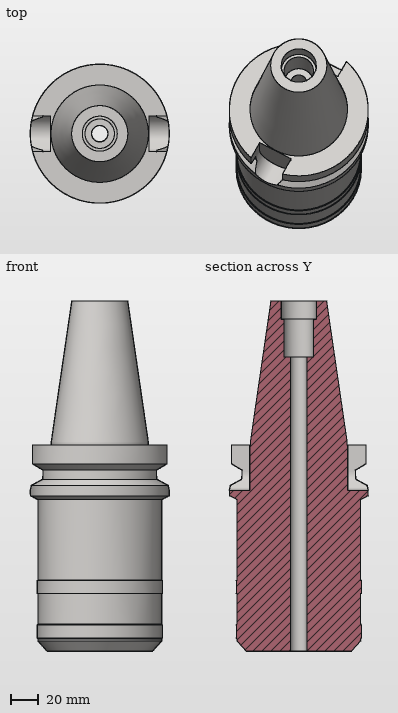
import cadquery as cq

total_height = 251.8
gauge_height = 150.0
flange_top = 148.3

gauge_radius = 35.0
taper_ratio = 7 / 24
shank_top_radius = gauge_radius - (total_height - gauge_height) * taper_ratio / 2

flange_diameter = 100.0
flange_radius = flange_diameter / 2
groove_radius = 42.8
groove_upper_edge = 134.7
groove_floor_top = 130.2
groove_floor_bottom = 123.6
groove_lower_edge = 119.4
flange_bottom = 111.8
body_top = 109.0

body_radius = 44.5
nose_radius = 37.8
nose_chamfer_top = 7.5

band_radius = 45.0
band_chamfer = band_radius - body_radius
lower_band_bottom = 9.0
lower_band_top = 19.6
upper_band_bottom = 41.5
upper_band_top = 51.4

slot_width = 25.7
slot_floor_distance = 35.3
slot_bottom = 115.8

mouth_radius = 12.5
mouth_depth = 13.0
thread_radius = 10.5
thread_depth = 40.3
through_radius = 5.8


def make_holder():
    """Revolve the outer half section about the Z axis."""
    section = [
        (0, 0),
        (nose_radius, 0),
        (body_radius, nose_chamfer_top),
        (body_radius, lower_band_bottom),
        (band_radius, lower_band_bottom + band_chamfer),
        (band_radius, lower_band_top - band_chamfer),
        (body_radius, lower_band_top),
        (body_radius, upper_band_bottom),
        (band_radius, upper_band_bottom),
        (band_radius, upper_band_top - band_chamfer),
        (body_radius, upper_band_top),
        (body_radius, body_top),
        (flange_radius, flange_bottom),
        (flange_radius, groove_lower_edge),
        (groove_radius, groove_floor_bottom),
        (groove_radius, groove_floor_top),
        (flange_radius, groove_upper_edge),
        (flange_radius, flange_top),
        (gauge_radius, flange_top),
        (gauge_radius, gauge_height),
        (shank_top_radius, total_height),
        (0, total_height),
    ]
    return cq.Workplane("XZ").polyline(section).close().revolve(360, (0, 0), (0, 1))


def make_slot(side):
    """Round-bottomed slot cutter; side is +1 for +X and -1 for -X."""
    half_width = slot_width / 2
    arc_height = slot_bottom + half_width
    return (
        cq.Workplane("YZ", origin=(side * slot_floor_distance, 0, 0))
        .moveTo(-half_width, flange_top)
        .lineTo(-half_width, arc_height)
        .threePointArc((0, slot_bottom), (half_width, arc_height))
        .lineTo(half_width, flange_top)
        .close()
        .extrude(side * flange_radius)
    )


def make_bore(radius, depth):
    """Round bore cutter going down from the shank end."""
    return cq.Workplane("XY", origin=(0, 0, total_height)).circle(radius).extrude(-depth)


result = make_holder()

for side in (1, -1):
    result = result.cut(make_slot(side))

for radius, depth in (
    (mouth_radius, mouth_depth),
    (thread_radius, thread_depth),
    (through_radius, total_height),
):
    result = result.cut(make_bore(radius, depth))